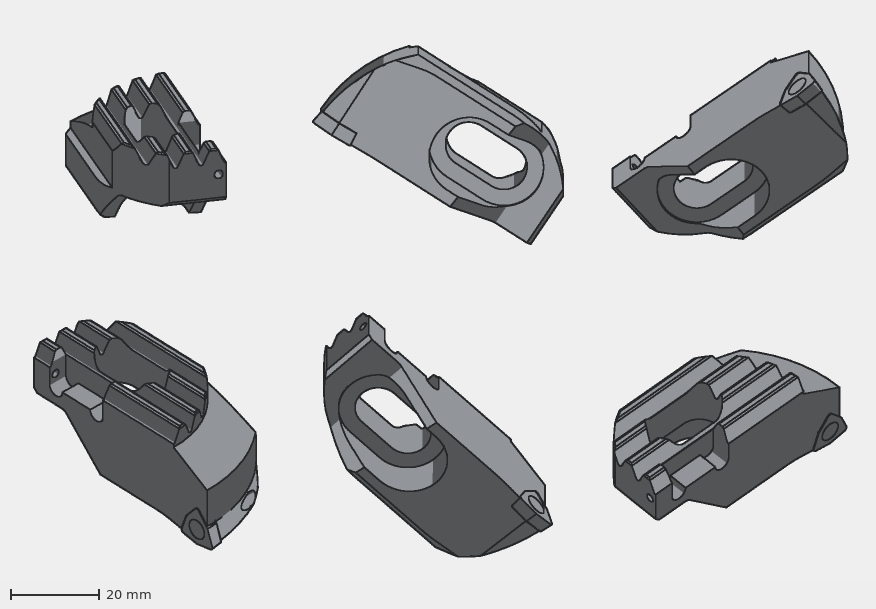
import cadquery as cq
import math

LENGTH = 59.0
TOP_Z = 27.4
BACK_Y = -0.25
MARGIN = 5.9

AXIS_X = 38.0
NECK_RADIUS = 24.95
BODY_RADIUS = 36.0
NECK_Z = 22.85
CONE_Z = 16.6
FLARE_Z = 6.4
FLARE_ANGLE = 17.5

FRONT_Y = BACK_Y - NECK_RADIUS
BEVEL_Z = 6.5
STEP_DEPTH = 1.55
STEP_Z = 15.05
STEP_DROP = 0.8

UNDERSIDE_Z = 2.4
UNDERSIDE_TILT = 6.0
RAMP_ANGLE = 10.0
LEFT_RAMP_ANGLE = 12.0
RAMP_X = 16.3
RAMP_RADIUS = 25.0

LEDGE_Z = 14.3
LEDGE_X = 48.95
LEDGE_FILLET = 2.5
END_CHAMFER = 1.05

FIRST_VALLEY_Y = -0.2
TOOTH_PITCH = 6.0
TOOTH_DEPTH = 3.65
TOOTH_COUNT = 4
VALLEY_RADIUS = 0.6
FLANK_ANGLE = 25.0
CREST_CHAMFER = 0.35

SLOT_X = 39.2
SLOT_Y = -12.1
SLOT_WIDTH = 10.5
SLOT_LENGTH = 20.05
SEAT_WIDTH = 18.0
SEAT_Z = 14.85

NOTCH_X = 45.1
NOTCH_WIDTH = 17.45
NOTCH_Y = -5.3
NOTCH_Z = 18.9
NOTCH_RELIEF_RADIUS = 2.05
NOTCH_FLARE = 0.3
NOTCH_FLARE_Z = 24.8

ADJUST_Y = -2.05
ADJUST_Z = 21.05
ADJUST_RADIUS = 1.0

INSERT_CORNERS = 3
HALF_TURN = 180 / INSERT_CORNERS
FIRST_LOBE_ANGLE = -90.0
INSCRIBED_RADIUS = 4.0
LOBE_ANGLE = 10.0
NOSE_RADIUS = 0.8
NOSE_SWING = HALF_TURN - LOBE_ANGLE
INSERT_THICKNESS = 3.2
CLEARANCE_ANGLE = 7.0
LOBE_DISTANCE = INSCRIBED_RADIUS / math.cos(math.radians(LOBE_ANGLE))
NOSE_DISTANCE = (INSCRIBED_RADIUS - NOSE_RADIUS) / math.cos(math.radians(NOSE_SWING))
INSERT_X = NOSE_DISTANCE * math.sin(math.radians(HALF_TURN)) + NOSE_RADIUS
INSERT_Z = LOBE_DISTANCE

SCREW_RADIUS = 1.3
SCREW_HOLE_RADIUS = 1.65
HEAD_RADIUS = 2.5
HEAD_HEIGHT = 1.4
SCREW_LENGTH = 10.05
SCREW_CHAMFER = 0.3


def tan(degrees):
    return math.tan(math.radians(degrees))


def along_x(points):
    """Prism along the whole length with the given (Y, Z) outline."""
    plane = cq.Workplane("YZ", origin=(-MARGIN, 0, 0))
    return plane.polyline(points).close().extrude(LENGTH + 2 * MARGIN)


def holder_blank():
    flare_drop = FLARE_Z + MARGIN
    flare_radius = BODY_RADIUS + flare_drop * tan(FLARE_ANGLE)
    turned = (
        cq.Workplane("XZ", origin=(AXIS_X, BACK_Y, 0))
        .polyline([
            (0, TOP_Z),
            (-NECK_RADIUS, TOP_Z),
            (-NECK_RADIUS, NECK_Z),
            (-BODY_RADIUS, CONE_Z),
            (-BODY_RADIUS, FLARE_Z),
            (-flare_radius, -MARGIN),
            (0, -MARGIN),
        ])
        .close()
        .revolve(90, (0, 0, 0), (0, 1, 0))
    )
    end_x = LENGTH - AXIS_X
    end_y = -math.sqrt(NECK_RADIUS ** 2 - end_x ** 2)
    mid_angle = (math.pi / 2 + math.acos(end_x / NECK_RADIUS)) / 2
    right_end = (
        cq.Workplane("XY", origin=(AXIS_X, BACK_Y, -MARGIN))
        .lineTo(end_x, 0)
        .lineTo(end_x, end_y)
        .threePointArc(
            (NECK_RADIUS * math.cos(mid_angle), -NECK_RADIUS * math.sin(mid_angle)),
            (0, -NECK_RADIUS),
        )
        .close()
        .extrude(TOP_Z + MARGIN)
    )
    return turned.union(right_end)


def front_cuts():
    far_y = FRONT_Y - 4 * MARGIN
    flat = along_x([
        (FRONT_Y, -2 * MARGIN),
        (FRONT_Y, STEP_Z - STEP_DROP),
        (FRONT_Y + STEP_DEPTH, STEP_Z),
        (FRONT_Y + STEP_DEPTH, TOP_Z + MARGIN),
        (far_y, TOP_Z + MARGIN),
        (far_y, -2 * MARGIN),
    ])
    bevel = along_x([
        (FRONT_Y - MARGIN, BEVEL_Z + MARGIN),
        (FRONT_Y - MARGIN, BEVEL_Z - 3 * MARGIN),
        (FRONT_Y + 3 * MARGIN, BEVEL_Z - 3 * MARGIN),
    ])
    return flat.union(bevel)


def underside_cut():
    """Ramped profile swept toward the front and slightly upward."""
    tilt = math.radians(UNDERSIDE_TILT)
    plane = cq.Plane(
        origin=(0, BACK_Y, UNDERSIDE_Z), xDir=(1, 0, 0), normal=(0, -math.cos(tilt), math.sin(tilt))
    )
    tip_drop = (RAMP_X - INSERT_X) * tan(RAMP_ANGLE)
    left_rise = (INSERT_X + MARGIN) * tan(LEFT_RAMP_ANGLE)
    cut = (
        cq.Workplane(plane)
        .workplane(offset=-MARGIN)
        .polyline([
            (-MARGIN, left_rise - tip_drop),
            (INSERT_X, -tip_drop),
            (RAMP_X, 0),
            (LENGTH + MARGIN, 0),
            (LENGTH + MARGIN, -3 * MARGIN),
            (-MARGIN, -3 * MARGIN),
        ])
        .close()
        .extrude(NECK_RADIUS + 3 * MARGIN)
    )
    ramp_edge = cq.selectors.NearestToPointSelector((RAMP_X, SLOT_Y, UNDERSIDE_Z))
    return cut.edges(ramp_edge).fillet(RAMP_RADIUS)


def ledge_cut():
    slant = LEDGE_Z + MARGIN
    cut = (
        cq.Workplane("XZ", origin=(0, MARGIN, 0))
        .polyline([
            (LEDGE_X - slant, -MARGIN),
            (LEDGE_X, LEDGE_Z),
            (LENGTH - END_CHAMFER, LEDGE_Z),
            (LENGTH + MARGIN, LEDGE_Z + END_CHAMFER + MARGIN),
            (LENGTH + MARGIN, -MARGIN),
        ])
        .close()
        .extrude(NECK_RADIUS + 3 * MARGIN)
    )
    corner = cq.selectors.NearestToPointSelector((LEDGE_X, SLOT_Y, LEDGE_Z))
    return cut.edges(corner).fillet(LEDGE_FILLET)


def tooth_groove(y):
    """V groove with a round bottom tangent to its flanks."""
    floor_z = TOP_Z - TOOTH_DEPTH
    tangent_y = VALLEY_RADIUS * math.cos(math.radians(FLANK_ANGLE))
    tangent_z = floor_z + VALLEY_RADIUS * (1 - math.sin(math.radians(FLANK_ANGLE)))
    half_top = tangent_y + (TOP_Z - tangent_z) * tan(FLANK_ANGLE)
    return (
        cq.Workplane("YZ", origin=(-MARGIN, y, 0))
        .moveTo(-half_top, TOP_Z)
        .lineTo(-tangent_y, tangent_z)
        .threePointArc((0, floor_z), (tangent_y, tangent_z))
        .lineTo(half_top, TOP_Z)
        .close()
        .extrude(LENGTH + 2 * MARGIN)
    )


def clamping_slot():
    straight = SLOT_LENGTH - SLOT_WIDTH
    base = cq.Workplane("XY", origin=(SLOT_X, SLOT_Y, -MARGIN))
    slot = base.slot2D(SLOT_LENGTH, SLOT_WIDTH).extrude(TOP_Z + 2 * MARGIN)
    seat = base.slot2D(straight + SEAT_WIDTH, SEAT_WIDTH).extrude(SEAT_Z + MARGIN)
    return slot.union(seat)


def key_notch():
    """Notch with flared mouth and a round relief groove along each floor corner."""
    half = NOTCH_WIDTH / 2
    depth = -NOTCH_Y
    plane = cq.Workplane("XZ", origin=(NOTCH_X, 0, 0))
    notch = plane.polyline([
        (-half, NOTCH_Z),
        (half, NOTCH_Z),
        (half, NOTCH_FLARE_Z),
        (half + NOTCH_FLARE, TOP_Z),
        (-half - NOTCH_FLARE, TOP_Z),
        (-half, NOTCH_FLARE_Z),
    ]).close().extrude(depth)
    relief_x = half - NOTCH_RELIEF_RADIUS
    reliefs = (
        plane.pushPoints([(-relief_x, NOTCH_Z), (relief_x, NOTCH_Z)])
        .circle(NOTCH_RELIEF_RADIUS)
        .extrude(depth)
    )
    return notch.union(reliefs)


def adjusting_hole():
    start_x = NOTCH_X + NOTCH_WIDTH / 2 - NOTCH_RELIEF_RADIUS
    plane = cq.Workplane("YZ", origin=(start_x, ADJUST_Y, ADJUST_Z))
    return plane.circle(ADJUST_RADIUS).extrude(LENGTH)


def screw_hole():
    plane = cq.Workplane("XZ", origin=(INSERT_X, 0, INSERT_Z))
    return plane.circle(SCREW_HOLE_RADIUS).extrude(NECK_RADIUS)


def polar(distance, degrees):
    direction = math.radians(degrees)
    return distance * math.cos(direction), distance * math.sin(direction)


def insert_blank():
    """Three-cornered plate with broken sides, narrowing away from its face."""
    lobe = polar(LOBE_DISTANCE, FIRST_LOBE_ANGLE)
    outline = cq.Workplane("XZ", origin=(INSERT_X, 0, INSERT_Z)).moveTo(*lobe)
    for turn in range(INSERT_CORNERS):
        corner_angle = FIRST_LOBE_ANGLE + HALF_TURN + 2 * HALF_TURN * turn
        nose_x, nose_z = polar(NOSE_DISTANCE, corner_angle)
        nose = []
        for swing in (-NOSE_SWING, 0, NOSE_SWING):
            x, z = polar(NOSE_RADIUS, corner_angle + swing)
            nose.append((nose_x + x, nose_z + z))
        outline = outline.lineTo(*nose[0]).threePointArc(nose[1], nose[2])
        if turn < INSERT_CORNERS - 1:
            outline = outline.lineTo(*polar(LOBE_DISTANCE, corner_angle + HALF_TURN))
    return outline.close().extrude(INSERT_THICKNESS, taper=CLEARANCE_ANGLE)


def countersunk_screw():
    return (
        cq.Workplane("XY", origin=(INSERT_X, 0, INSERT_Z))
        .polyline([
            (0, 0),
            (HEAD_RADIUS, 0),
            (SCREW_RADIUS, -HEAD_HEIGHT),
            (SCREW_RADIUS, -SCREW_LENGTH + SCREW_CHAMFER),
            (SCREW_RADIUS - SCREW_CHAMFER, -SCREW_LENGTH),
            (0, -SCREW_LENGTH),
        ])
        .close()
        .revolve(360, (0, 0, 0), (0, 1, 0))
    )


plate = insert_blank()
screw = countersunk_screw()
insert = plate.cut(screw)

holder = holder_blank().cut(front_cuts()).cut(underside_cut()).cut(ledge_cut())
for groove in range(TOOTH_COUNT + 1):
    holder = holder.cut(tooth_groove(FIRST_VALLEY_Y - groove * TOOTH_PITCH))
holder = holder.faces(">Z").edges().chamfer(CREST_CHAMFER)
holder = holder.cut(clamping_slot()).cut(key_notch()).cut(adjusting_hole())
holder = holder.cut(plate).cut(screw_hole())

result = cq.Compound.makeCompound([holder.val(), insert.val(), screw.val()])